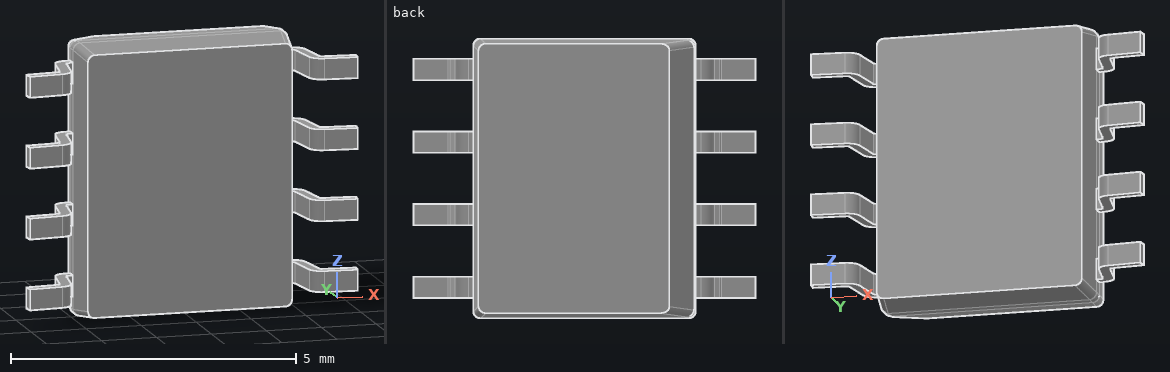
import cadquery as cq
import math


LEAD_SPAN = 6.0
OVERALL_DEPTH = 1.75

BODY_WIDTH = 3.9
BODY_LENGTH = 4.9
BODY_DEPTH = 1.5
DRAFT_ANGLE = 8.0
CORNER_RADIUS = 0.125
BEVEL_SIZE = 0.43

LEAD_THICKNESS = 0.2
LEAD_WIDTH = 0.38
LEAD_PITCH = 1.27
LEADS_PER_SIDE = 4
BEND_INNER_RADIUS = 0.04
SHOULDER_REACH = 0.21
LEG_LEAN = 8.0
FOOT_SLOPE = 5.0

HALF_BAND = LEAD_THICKNESS / 2
HALF_DEPTH = BODY_DEPTH / 2
HALF_WIDTH = BODY_WIDTH / 2
LEAD_BOTTOM = HALF_DEPTH - OVERALL_DEPTH


def body_slab(start_y, height, taper):
    """Rectangular slab growing from start_y along Y (height may be negative), narrowing by taper."""
    plane = cq.Plane(
        origin=(0, start_y, 0),
        xDir=(1, 0, 0),
        normal=(0, math.copysign(1, height), 0),
    )
    return cq.Workplane(plane).rect(BODY_WIDTH, BODY_LENGTH).extrude(abs(height), taper=taper)


def bevel_wedge():
    """Triangular prism that cuts the pin-1 edge at 45 degrees."""
    foot_y = HALF_DEPTH - BEVEL_SIZE
    foot_x = -HALF_WIDTH + (foot_y - HALF_BAND) * math.tan(math.radians(DRAFT_ANGLE))

    return (
        cq.Workplane("XY")
        .moveTo(foot_x + BEVEL_SIZE, HALF_DEPTH)
        .lineTo(foot_x - BEVEL_SIZE, foot_y - BEVEL_SIZE)
        .lineTo(foot_x - BEVEL_SIZE, HALF_DEPTH)
        .close()
        .extrude(BODY_LENGTH / 2, both=True)
    )


def make_body():
    """Package with a straight central band, drafted halves, a bevel and rounded corners."""
    draft_height = HALF_DEPTH - HALF_BAND
    body = body_slab(-HALF_BAND, 2 * HALF_BAND, 0)
    body = body.union(body_slab(HALF_BAND, draft_height, DRAFT_ANGLE))
    body = body.union(body_slab(-HALF_BAND, -draft_height, DRAFT_ANGLE))

    body = body.cut(bevel_wedge())

    return body.edges("not(|X or |Z)").fillet(CORNER_RADIUS)


def lead_path():
    """Rounded centreline of a +X lead: shoulder, leg and foot."""
    lean = math.tan(math.radians(LEG_LEAN))
    slope = math.tan(math.radians(FOOT_SLOPE))
    foot_angle = math.radians(FOOT_SLOPE)

    shoulder_x = HALF_WIDTH + SHOULDER_REACH
    tip_x = LEAD_SPAN / 2 - HALF_BAND * math.sin(foot_angle)
    tip_y = LEAD_BOTTOM + HALF_BAND * math.cos(foot_angle)

    heel_y = (tip_y + (tip_x - shoulder_x) * slope) / (1 - lean * slope)
    heel_x = shoulder_x - heel_y * lean

    centreline = cq.Wire.makePolygon([
        cq.Vector(HALF_WIDTH, 0, 0),
        cq.Vector(shoulder_x, 0, 0),
        cq.Vector(heel_x, heel_y, 0),
        cq.Vector(tip_x, tip_y, 0),
    ])
    bends = centreline.Vertices()[1:3]
    return centreline.fillet2D(BEND_INNER_RADIUS + HALF_BAND, bends)


def make_lead(side, z):
    """One gull-wing lead; side is +1 for the +X row and -1 for the -X row."""
    section = cq.Workplane("YZ", origin=(HALF_WIDTH, 0, 0)).rect(LEAD_THICKNESS, LEAD_WIDTH)
    lead = section.sweep(lead_path())
    if side < 0:
        lead = lead.mirror("YZ")
    return lead.translate((0, 0, z))


body = make_body()

leads = []
for side in (1, -1):
    for index in range(LEADS_PER_SIDE):
        z = (index - (LEADS_PER_SIDE - 1) / 2) * LEAD_PITCH
        leads.append(make_lead(side, z))

result = cq.Compound.makeCompound([body.val(), *[lead.val() for lead in leads]])